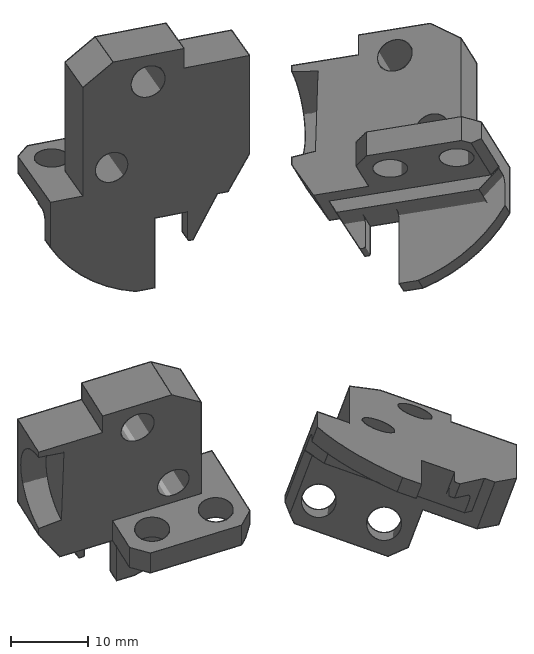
import cadquery as cq

total_width = 14.25
total_length = 27.5
total_height = 35.5

plate_thickness = 6.75
plate_front = 4.47
plate_bottom = 12.45
plate_shoulder = 32.52
top_front = 8.65
top_back = 18.45
back_bevel_start = 17.6
back_bevel_end = 24.53

plate_holes = [(13.5, 31.52, 4.7), (8.45, 19.55, 4.47)]

recess_center_x = -7.45
recess_center_z = 25.15
recess_mouth_radius = 6.45
recess_taper = 0.12
recess_depth = 3.4
recess_tilt = 0.03
recess_overrun = 0.7

flange_top = 16.05
flange_length = 17.05
flange_corner = 2.05
flange_edge_chamfer = 1.05
flange_hole_diameter = 4.5
flange_hole_inset = 3.98
flange_hole_positions = [3.98, 13.0]

rail_thickness = 4.72
rail_bottom = 10.58
rail_back = 23.08
rail_chamfer = 2.7
flap_thickness = 2.05
root_fillet = 1.0
slot_front = 14.4
slot_back = 18.95
tooth_tip_back = 19.7
tooth_tip = 6.18
tooth_tip_radius = 0.3
fan_flat_front = 11.8
fan_mid = (4.97, 3.48)
fan_front_height = 9.15


def side_profile(thickness):
    """Workplane for a Y-Z outline that is extruded from the inner face to X = 0."""
    return cq.Workplane("YZ").workplane(offset=-thickness)


def side_block(points, thickness):
    return side_profile(thickness).polyline(points).close().extrude(thickness)


def make_recess():
    axis = cq.Vector(0, -1, -recess_tilt)
    mouth = cq.Vector(recess_center_x, total_length, recess_center_z)
    cone = cq.Solid.makeCone(
        recess_mouth_radius + recess_taper * recess_overrun,
        recess_mouth_radius - recess_taper * recess_depth,
        recess_depth + recess_overrun,
        mouth - axis * recess_overrun,
        axis,
    )
    return cq.Workplane(obj=cone)


def make_plate():
    plate = side_block(
        [
            (plate_front, plate_bottom),
            (plate_front, plate_shoulder),
            (top_front, total_height),
            (top_back, total_height),
            (top_back, plate_shoulder),
            (total_length, plate_shoulder),
            (total_length, back_bevel_start),
            (back_bevel_end, plate_bottom),
        ],
        plate_thickness,
    )
    for y, z, diameter in plate_holes:
        hole = side_profile(plate_thickness).center(y, z).circle(diameter / 2).extrude(plate_thickness)
        plate = plate.cut(hole)
    return plate.cut(make_recess())


def make_flange():
    height = flange_top - plate_bottom
    flange = (
        cq.Workplane("XY")
        .box(total_width, flange_length, height, centered=False)
        .translate((-total_width, 0, plate_bottom))
        .edges("|Z and <X")
        .chamfer(flange_corner)
    )
    holes = (
        cq.Workplane("XY")
        .workplane(offset=plate_bottom)
        .pushPoints([(flange_hole_inset - total_width, y) for y in flange_hole_positions])
        .circle(flange_hole_diameter / 2)
        .extrude(height)
    )
    bevel = side_block(
        [
            (0, plate_bottom),
            (flange_edge_chamfer, plate_bottom),
            (0, plate_bottom + flange_edge_chamfer),
        ],
        total_width,
    )
    return flange.cut(holes).cut(bevel)


def make_lower_outline():
    """Shared side outline of the rail, the tooth and the fan-shaped flap."""
    outline = (
        side_profile(rail_thickness)
        .moveTo(0, flange_top)
        .lineTo(0, fan_front_height)
        .threePointArc(fan_mid, (fan_flat_front, 0))
        .lineTo(slot_front, 0)
        .lineTo(slot_front, rail_bottom)
        .lineTo(slot_back, rail_bottom)
        .lineTo(slot_back, tooth_tip)
        .lineTo(tooth_tip_back, tooth_tip)
        .lineTo(rail_back, plate_bottom)
        .lineTo(rail_back, flange_top)
        .close()
        .extrude(rail_thickness)
    )
    tip_corner = cq.selectors.NearestToPointSelector((-rail_thickness / 2, slot_back, tooth_tip))
    return outline.edges(tip_corner).fillet(tooth_tip_radius)


def make_lower_body():
    rail = side_block(
        [
            (0, flange_top),
            (0, rail_bottom + rail_chamfer),
            (rail_chamfer, rail_bottom),
            (rail_back, rail_bottom),
            (rail_back, flange_top),
        ],
        rail_thickness,
    )
    flap = side_profile(flap_thickness).rect(rail_back, flange_top, centered=False).extrude(flap_thickness)
    bottom_root = cq.selectors.NearestToPointSelector((-flap_thickness, rail_back / 2, rail_bottom))
    bevel_root = cq.selectors.NearestToPointSelector(
        (-flap_thickness, rail_chamfer / 2, rail_bottom + rail_chamfer / 2)
    )
    body = rail.union(flap)
    roots = body.edges(bottom_root).vals() + body.edges(bevel_root).vals()
    body = body.newObject(roots).fillet(root_fillet)
    return body.intersect(make_lower_outline())


result = make_plate().union(make_flange()).union(make_lower_body())